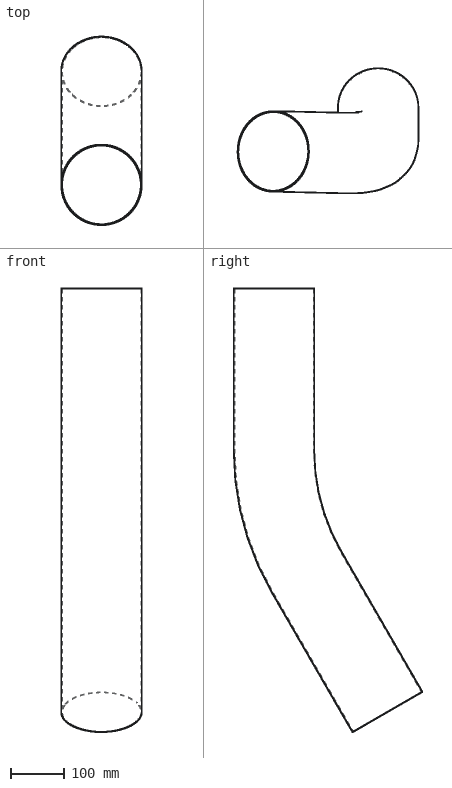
import cadquery as cq
import math

total_height = 835.5
outer_diameter = 152.0
inner_diameter = 148.0
leg_length = 305.0
bend_angle = math.radians(30)

sine = math.sin(bend_angle)
cosine = math.cos(bend_angle)
tilted_rim_drop = outer_diameter / 2 * sine
bend_height = total_height - leg_length * (1 + cosine) - tilted_rim_drop
bend_radius = bend_height / sine


def bend_point(angle):
    """Centreline point (Y, Z) of the bend, which starts at the origin and curves towards +Y."""
    return (bend_radius * (1 - math.cos(angle)), -bend_radius * math.sin(angle))


bend_end_y, bend_end_z = bend_point(bend_angle)
lower_end = (bend_end_y + leg_length * sine, bend_end_z - leg_length * cosine)
centreline = (
    cq.Workplane("YZ")
    .moveTo(0, leg_length)
    .lineTo(0, 0)
    .threePointArc(bend_point(bend_angle / 2), (bend_end_y, bend_end_z))
    .lineTo(*lower_end)
)

result = (
    cq.Workplane("XY", origin=(0, 0, leg_length))
    .circle(outer_diameter / 2)
    .circle(inner_diameter / 2)
    .sweep(centreline)
)